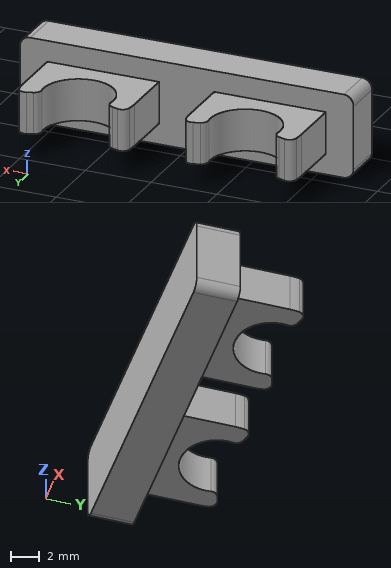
import cadquery as cq
import math

PLATE_LENGTH = 25.4
PLATE_DEPTH = 3.175
PLATE_HEIGHT = 6.35
PLATE_CORNER_RADIUS = 0.762

CLIP_COUNT = 2
CLIP_PITCH = PLATE_LENGTH / CLIP_COUNT
CLIP_HEIGHT = PLATE_HEIGHT / 2
BORE_RADIUS = 2.65
WALL = 1.6
OUTER_RADIUS = BORE_RADIUS + WALL
BORE_Y = PLATE_DEPTH + OUTER_RADIUS
WRAP_ANGLE = math.radians(18)
TIP_RADIUS = 0.55


def polar(radius, angle):
    """Point at the given radius and angle about the bore axis."""
    return (radius * math.cos(angle), BORE_Y + radius * math.sin(angle))


def mirrored(point):
    """The same point on the opposite arm."""
    return (-point[0], point[1])


def make_plate():
    """Plate with its front face on Y = 0 and rounded corners along Y."""
    plate = cq.Workplane("XY").box(
        PLATE_LENGTH, PLATE_DEPTH, PLATE_HEIGHT, centered=(True, False, True)
    )
    return plate.edges("|Y").fillet(PLATE_CORNER_RADIUS)


def tip_edges(corner):
    """Select the upright edges at a corner of one arm end and at its mirror image."""
    right = cq.selectors.NearestToPointSelector((*corner, 0))
    left = cq.selectors.NearestToPointSelector((*mirrored(corner), 0))
    return right + left


def make_clip():
    """Clip centered on X = 0: straight sides, then arms concentric with the bore, cut radially."""
    outer_side = polar(OUTER_RADIUS, 0)
    outer_bend = polar(OUTER_RADIUS, WRAP_ANGLE / 2)
    outer_corner = polar(OUTER_RADIUS, WRAP_ANGLE)
    inner_corner = polar(BORE_RADIUS, WRAP_ANGLE)
    bore_bottom = polar(BORE_RADIUS, -math.pi / 2)

    clip = (
        cq.Workplane("XY", origin=(0, 0, -CLIP_HEIGHT / 2))
        .moveTo(-OUTER_RADIUS, PLATE_DEPTH)
        .lineTo(OUTER_RADIUS, PLATE_DEPTH)
        .lineTo(*outer_side)
        .threePointArc(outer_bend, outer_corner)
        .lineTo(*inner_corner)
        .threePointArc(bore_bottom, mirrored(inner_corner))
        .lineTo(*mirrored(outer_corner))
        .threePointArc(mirrored(outer_bend), mirrored(outer_side))
        .close()
        .extrude(CLIP_HEIGHT)
    )
    clip = clip.edges(tip_edges(outer_corner)).fillet(TIP_RADIUS)
    return clip.edges(tip_edges(inner_corner)).fillet(TIP_RADIUS)


result = make_plate()
clip = make_clip()
for index in range(CLIP_COUNT):
    clip_x = (index - (CLIP_COUNT - 1) / 2) * CLIP_PITCH
    result = result.union(clip.translate((clip_x, 0, 0)))